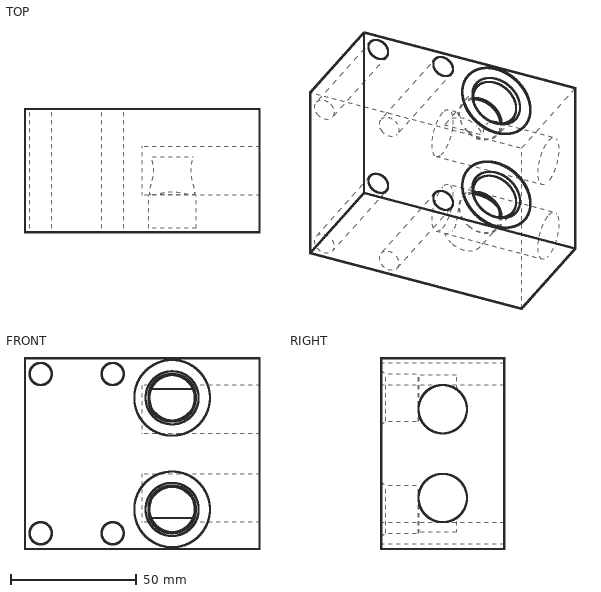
import cadquery as cq
import math

LENGTH = 93.68
DEPTH = 49.23
HEIGHT = 76.2

MOUNT_DIAMETER = 8.75
MOUNT_EDGE_X = 6.35
MOUNT_SPACING_X = 28.7
MOUNT_SPACING_Z = 63.5

PORT_X = 11.9
PORT_SPACING_Z = 44.5
SPOTFACE_DIAMETER = 30.2
SPOTFACE_DEPTH = 0.4
MOUTH_DIAMETER = 21.2
MOUTH_CHAMFER_DEPTH = 1.3
THREAD_BORE_DIAMETER = 19.05
THREAD_BORE_DEPTH = 14.8
PILOT_BORE_DIAMETER = 18.1
STEP_LENGTH = 0.3

CROSS_DIAMETER = 19.3
CROSS_SPACING_Z = 35.4
CROSS_EDGE_HALF_WIDTH = 8.0
CROSS_OVERRUN = 3.0

CROSS_RADIUS = CROSS_DIAMETER / 2
PORT_DEPTH = DEPTH / 2 + math.sqrt(CROSS_RADIUS**2 - CROSS_EDGE_HALF_WIDTH**2)

FRONT_Y = -DEPTH / 2
SIDES = (-1, 1)


def mounting_hole(x, z):
    """Round hole running the full depth of the block."""
    return cq.Workplane("XZ", origin=(x, -FRONT_Y, z)).circle(MOUNT_DIAMETER / 2).extrude(DEPTH)


def port(z):
    """Spotface, chamfered mouth, thread bore and flat-bottomed pilot bore, revolved about the port axis."""
    mouth_y = FRONT_Y + SPOTFACE_DEPTH
    step_y = FRONT_Y + THREAD_BORE_DEPTH
    floor_y = FRONT_Y + PORT_DEPTH
    thread_radius = THREAD_BORE_DIAMETER / 2
    pilot_radius = PILOT_BORE_DIAMETER / 2
    profile = [
        (0, FRONT_Y),
        (SPOTFACE_DIAMETER / 2, FRONT_Y),
        (SPOTFACE_DIAMETER / 2, mouth_y),
        (MOUTH_DIAMETER / 2, mouth_y),
        (thread_radius, mouth_y + MOUTH_CHAMFER_DEPTH),
        (thread_radius, step_y),
        (pilot_radius, step_y + STEP_LENGTH),
        (pilot_radius, floor_y),
        (0, floor_y),
    ]
    shape = cq.Workplane("XY").polyline(profile).close().revolve(360, (0, 0), (0, 1))
    return shape.translate((PORT_X, 0, z))


def cross_bore(z):
    """Blind bore from the +X end that crosses one port."""
    start_x = PORT_X - PILOT_BORE_DIAMETER / 2 - CROSS_OVERRUN
    plane = cq.Workplane("YZ", origin=(start_x, 0, z))
    return plane.circle(CROSS_RADIUS).extrude(LENGTH / 2 - start_x)


result = cq.Workplane("XY").box(LENGTH, DEPTH, HEIGHT)
first_mount_x = -LENGTH / 2 + MOUNT_EDGE_X
for side in SIDES:
    for mount_x in (first_mount_x, first_mount_x + MOUNT_SPACING_X):
        result = result.cut(mounting_hole(mount_x, side * MOUNT_SPACING_Z / 2))
    result = result.cut(port(side * PORT_SPACING_Z / 2))
    result = result.cut(cross_bore(side * CROSS_SPACING_Z / 2))